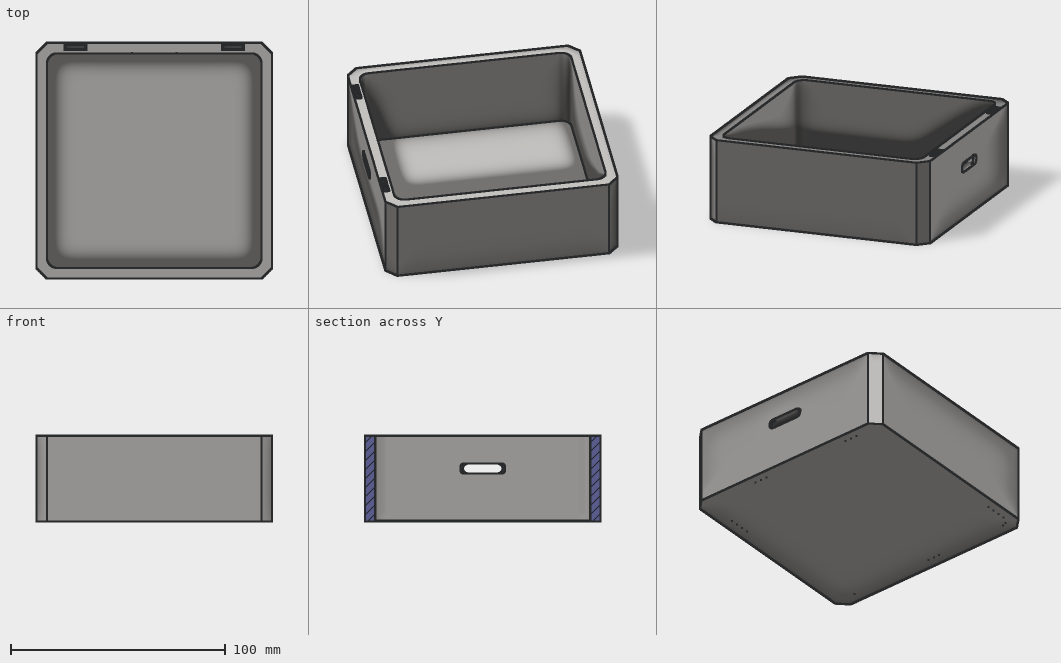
import cadquery as cq

side = 110.0
height = 40.0
wall = 5.0
floor_thickness = 0.5
corner_chamfer = 5.0
cavity_corner_radius = 5.0

pocket_spacing = 73.5
pocket_width = 8.9
pocket_thickness = 1.3
pocket_setback = 2.0
mouth_chamfer = 0.7

slot_center_z = 24.8
slot_height = 4.6
inner_slot_length = 20.8
inner_slot_corner_radius = 1.8
inner_slot_depth = 3.4
outer_slot_length = 18.5

back_y = side / 2
inner_back_y = back_y - wall


def tray():
    cavity_side = side - 2 * wall
    body = cq.Workplane("XY").box(side, side, height, centered=(True, True, False))
    body = body.edges("|Z").chamfer(corner_chamfer)
    cavity = (
        cq.Workplane("XY", origin=(0, 0, floor_thickness))
        .rect(cavity_side, cavity_side)
        .extrude(height)
        .edges("|Z")
        .fillet(cavity_corner_radius)
    )
    return body.cut(cavity)


def rim_pocket(x):
    """Upright pocket with a half-round bottom and a chamfered mouth at the rim."""
    radius = pocket_width / 2
    pocket_y = back_y - pocket_setback
    arc_center_z = height - mouth_chamfer - radius
    pocket = (
        cq.Workplane("XZ", origin=(x, pocket_y + pocket_thickness / 2, arc_center_z))
        .moveTo(-radius, 0)
        .threePointArc((0, -radius), (radius, 0))
        .lineTo(radius, height - arc_center_z)
        .lineTo(-radius, height - arc_center_z)
        .close()
        .extrude(pocket_thickness)
    )
    mouth = (
        cq.Workplane("XY", origin=(x, pocket_y, height))
        .rect(pocket_width + 2 * mouth_chamfer, pocket_thickness + 2 * mouth_chamfer)
        .workplane(offset=-mouth_chamfer)
        .rect(pocket_width, pocket_thickness)
        .loft(ruled=True)
    )
    return pocket.union(mouth)


def back_slot():
    """Rounded recess on the inner side with a shorter round-ended slot behind it."""
    inner_part = (
        cq.Workplane("XZ", origin=(0, inner_back_y, slot_center_z))
        .rect(inner_slot_length, slot_height)
        .extrude(-inner_slot_depth)
        .edges("|Y")
        .fillet(inner_slot_corner_radius)
    )
    outer_part = (
        cq.Workplane("XZ", origin=(0, inner_back_y, slot_center_z))
        .slot2D(outer_slot_length, slot_height)
        .extrude(-wall)
    )
    return inner_part.union(outer_part)


result = tray().cut(back_slot())
for pocket_x in (-pocket_spacing / 2, pocket_spacing / 2):
    result = result.cut(rim_pocket(pocket_x))